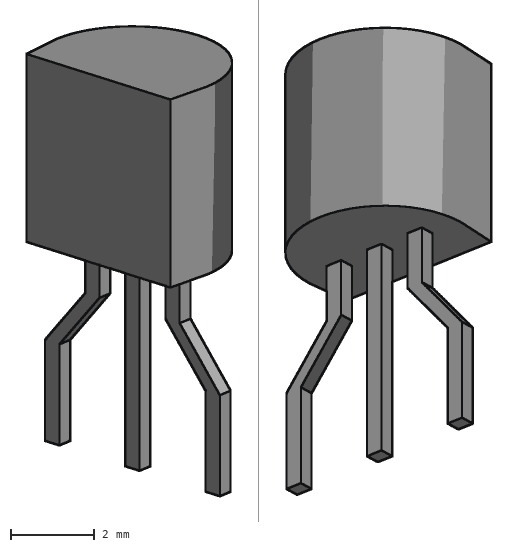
import cadquery as cq


total_height = 10.41
body_height = 4.82
back_radius = 2.38
front_depth = 1.24
front_width = 4.56
body_bottom = total_height - body_height

lead_width = 0.46
lead_thickness = 0.4
tip_pitch = 2.54
root_pitch = tip_pitch / 2
upper_bend_drop = 1.48
lower_bend_drop = 3.0
upper_bend = body_bottom - upper_bend_drop
lower_bend = body_bottom - lower_bend_drop


def make_body():
    """Half-round back joined to a tapered front with a flat face."""
    return (
        cq.Workplane("XY", origin=(0, 0, body_bottom))
        .moveTo(back_radius, 0)
        .threePointArc((0, back_radius), (-back_radius, 0))
        .lineTo(-front_width / 2, -front_depth)
        .lineTo(front_width / 2, -front_depth)
        .close()
        .extrude(body_height)
    )


def make_lead(side):
    """Lead that spreads outwards: side is -1 (left), 0 (straight centre) or 1 (right)."""
    root_x = side * root_pitch
    tip_x = side * tip_pitch
    centre_line = [(root_x, body_bottom)]
    if side != 0:
        centre_line += [(root_x, upper_bend), (tip_x, lower_bend)]
    centre_line.append((tip_x, 0))

    half_width = lead_width / 2
    left_edge = [(x - half_width, z) for x, z in centre_line]
    right_edge = [(x + half_width, z) for x, z in centre_line]
    return cq.Workplane("XZ").polyline(left_edge + right_edge[::-1]).close().extrude(-lead_thickness)


result = make_body()
for side in (-1, 0, 1):
    result = result.union(make_lead(side))